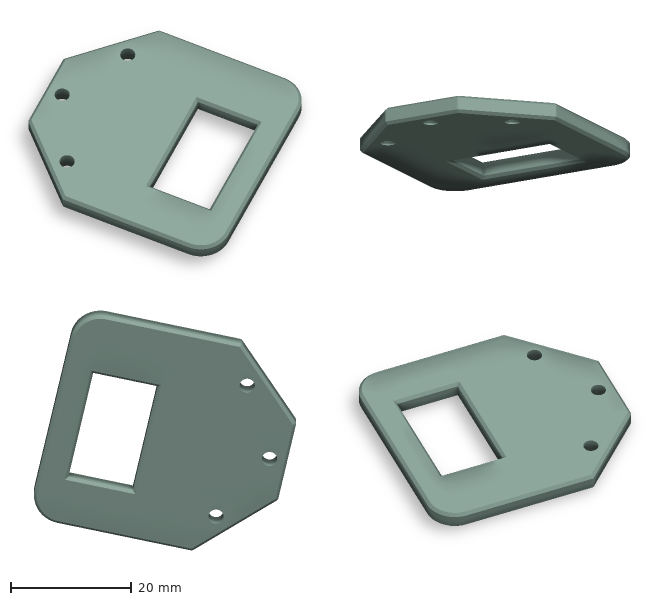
import cadquery as cq

length = 40.0
width = 38.0
thickness = 3.0
corner_cut = 12.0
corner_radius = 5.0
vertex_radius = 0.6
edge_chamfer = thickness / 6

window_length = 11.0
window_width = 19.0
window_right_margin = 5.0
window_y = -1.0

hole_diameter = 2.5
middle_hole_inset = 3.0
outer_hole_inset = 9.5
outer_hole_y = 12.0

left = -length / 2
right = length / 2
back = width / 2


def make_plate():
    """Plate with cut left corners, round right corners and chamfered faces."""
    outline = [
        (left, back - corner_cut),
        (left + corner_cut, back),
        (right, back),
        (right, -back),
        (left + corner_cut, -back),
        (left, -back + corner_cut),
    ]
    plate = cq.Workplane("XY").polyline(outline).close().extrude(thickness)
    plate = plate.edges("|Z and >X").fillet(corner_radius)
    cut_vertices = [outline[0], outline[1], outline[4], outline[5]]
    for x, y in cut_vertices:
        nearest = cq.selectors.NearestToPointSelector((x, y, thickness / 2))
        plate = plate.edges("|Z").edges(nearest).fillet(vertex_radius)
    return plate.faces("<Z or >Z").edges().chamfer(edge_chamfer)


def make_window():
    """Window cutter, flared by the edge chamfer at the top and bottom faces."""
    x = right - window_right_margin - window_length / 2
    cutter = (
        cq.Workplane("XY")
        .center(x, window_y)
        .rect(window_length, window_width)
        .extrude(thickness)
    )
    for start, rise in [(edge_chamfer, -edge_chamfer), (thickness - edge_chamfer, edge_chamfer)]:
        flare = (
            cq.Workplane("XY", origin=(x, window_y, start))
            .rect(window_length, window_width)
            .workplane(offset=rise)
            .rect(window_length + 2 * edge_chamfer, window_width + 2 * edge_chamfer)
            .loft(ruled=True)
        )
        cutter = cutter.union(flare)
    return cutter


def make_holes():
    """Three through-hole cutters near the left end."""
    centres = [
        (left + middle_hole_inset, 0),
        (left + outer_hole_inset, outer_hole_y),
        (left + outer_hole_inset, -outer_hole_y),
    ]
    return cq.Workplane("XY").pushPoints(centres).circle(hole_diameter / 2).extrude(thickness)


result = make_plate().cut(make_window()).cut(make_holes())